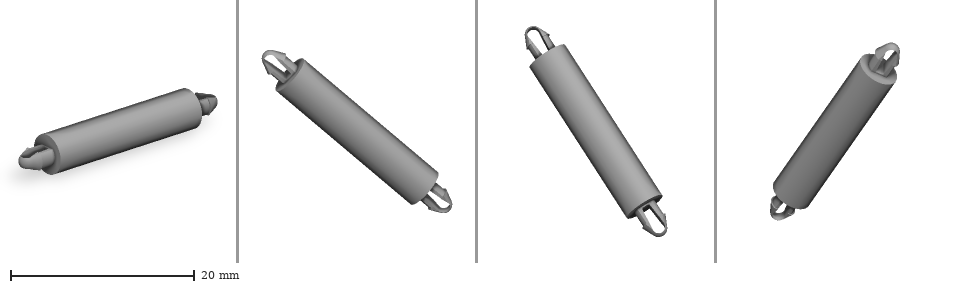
import cadquery as cq
import math

total_length = 27.6
body_diameter = 4.6
clip_length = 3.8
body_length = total_length - 2 * clip_length

shank_radius = 1.3
shank_half_height = 0.9
barb_start = 1.9
barb_radius = 1.5
barb_half_height = 1.02
tip_half_height = 0.55
dome_radius = 0.97

slot_floor = 0.17
slot_floor_half_width = 0.47
slot_end_radius = 0.72
slot_wall_at_tip = 0.25
slot_corner_radius = 0.17

body_end = body_length / 2
tip = body_end + clip_length
barb_base = body_end + barb_start


def make_round_clip():
    """Round shank and barb, with a dome that is tangent to the barb cone."""
    dome_center = tip - dome_radius
    reach = dome_center - barb_base
    angle_to_barb_rim = math.atan2(barb_radius, -reach)
    tangent_angle = angle_to_barb_rim - math.acos(dome_radius / math.hypot(barb_radius, reach))

    def dome_point(angle):
        return (dome_radius * math.sin(angle), dome_center + dome_radius * math.cos(angle))

    return (
        cq.Workplane("XY")
        .moveTo(0, 0)
        .lineTo(shank_radius, 0)
        .lineTo(shank_radius, barb_base)
        .lineTo(barb_radius, barb_base)
        .lineTo(*dome_point(tangent_angle))
        .threePointArc(dome_point(tangent_angle / 2), (0, tip))
        .close()
        .revolve(360, (0, 0), (0, 1))
    )


def make_flat_envelope():
    """Side outline whose flats are parallel on the shank and taper along the barb."""
    upper_edge = [
        (0, shank_half_height),
        (barb_base, shank_half_height),
        (barb_base, barb_half_height),
        (tip, tip_half_height),
    ]
    lower_edge = [(y, -z) for y, z in reversed(upper_edge)]
    return cq.Workplane("YZ").polyline(upper_edge + lower_edge).close().extrude(barb_radius, both=True)


def make_slot():
    """Slot through the clip along Z, widening to a round end near the tip."""
    floor = body_end + slot_floor
    end = tip - slot_wall_at_tip
    arc_start = end - slot_end_radius
    return (
        cq.Workplane("XY")
        .moveTo(-slot_floor_half_width, floor)
        .lineTo(slot_floor_half_width, floor)
        .lineTo(slot_end_radius, arc_start)
        .threePointArc((0, end), (-slot_end_radius, arc_start))
        .close()
        .extrude(barb_radius, both=True)
        .edges("|Z and <Y")
        .fillet(slot_corner_radius)
    )


body = cq.Workplane("XZ", origin=(0, body_end, 0)).circle(body_diameter / 2).extrude(body_length)
clip = make_round_clip().intersect(make_flat_envelope()).cut(make_slot())
opposite_clip = clip.mirror("XZ")

result = body.union(clip).union(opposite_clip).clean()